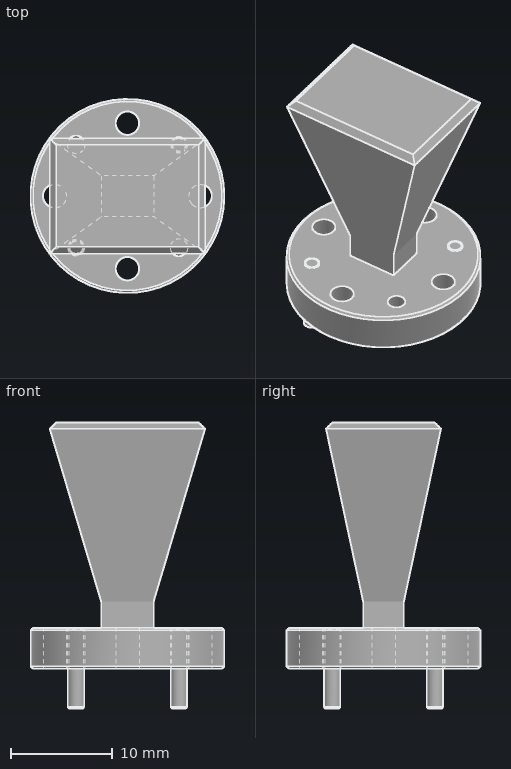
import cadquery as cq
import math

total_height = 28.08
flange_diameter = 19.05
flange_bottom = 3.9
flange_thickness = 4.02
flange_chamfer = 0.25
flange_top = flange_bottom + flange_thickness

bolt_circle_radius = 7.13
screw_hole_diameter = 2.27
screw_hole_angles = (0, 90, 180, 270)
alignment_hole_diameter = 1.7
alignment_hole_angles = (135, 315)
pin_diameter = 1.63
pin_tip_chamfer = 0.17
shank_diameter = 1.45
shank_chamfer = 0.1
pin_angles = (45, 225)

neck_length = 5.17
neck_width = 4.02
neck_height = 2.58
horn_length = 15.25
horn_width = 11.3
rim_chamfer = 0.65
neck_top = flange_top + neck_height
rim_bottom = total_height - rim_chamfer


def bolt_circle_point(angle):
    """Point on the bolt circle at an angle in degrees from +X."""
    return (
        bolt_circle_radius * math.cos(math.radians(angle)),
        bolt_circle_radius * math.sin(math.radians(angle)),
    )


def through_holes(diameter, angles):
    """Cutters that pass through the full flange thickness."""
    return (
        cq.Workplane("XY", origin=(0, 0, flange_bottom))
        .pushPoints([bolt_circle_point(angle) for angle in angles])
        .circle(diameter / 2)
        .extrude(flange_thickness)
    )


def make_flange():
    """Round flange with chamfered edges, screw, alignment and pin holes."""
    disc = (
        cq.Workplane("XY", origin=(0, 0, flange_bottom))
        .circle(flange_diameter / 2)
        .extrude(flange_thickness)
        .faces("<Z or >Z")
        .edges()
        .chamfer(flange_chamfer)
    )
    return (
        disc.cut(through_holes(screw_hole_diameter, screw_hole_angles))
        .cut(through_holes(alignment_hole_diameter, alignment_hole_angles))
        .cut(through_holes(shank_diameter, pin_angles))
    )


def make_horn():
    """Straight neck, tapered flare and bevelled rim."""
    neck = (
        cq.Workplane("XY", origin=(0, 0, flange_top))
        .rect(neck_length, neck_width)
        .extrude(neck_height)
    )
    flare = (
        cq.Workplane("XY", origin=(0, 0, neck_top))
        .rect(neck_length, neck_width)
        .workplane(offset=rim_bottom - neck_top)
        .rect(horn_length, horn_width)
        .loft(ruled=True)
    )
    rim = (
        cq.Workplane("XY", origin=(0, 0, rim_bottom))
        .rect(horn_length, horn_width)
        .workplane(offset=rim_chamfer)
        .rect(horn_length - 2 * rim_chamfer, horn_width - 2 * rim_chamfer)
        .loft(ruled=True)
    )
    return neck.union(flare).union(rim)


def make_pin(angle):
    """Pin below the flange with a slimmer shank, flush with the flange top."""
    center = bolt_circle_point(angle)
    tip = (
        cq.Workplane("XY")
        .center(*center)
        .circle(pin_diameter / 2)
        .extrude(flange_bottom)
        .faces("<Z")
        .chamfer(pin_tip_chamfer)
    )
    shank = (
        cq.Workplane("XY", origin=(0, 0, flange_bottom))
        .center(*center)
        .circle(shank_diameter / 2)
        .extrude(flange_thickness)
        .faces(">Z")
        .chamfer(shank_chamfer)
    )
    return tip.union(shank)


housing = make_flange().union(make_horn())
pins = [make_pin(angle) for angle in pin_angles]

result = cq.Compound.makeCompound([housing.val(), *[pin.val() for pin in pins]])